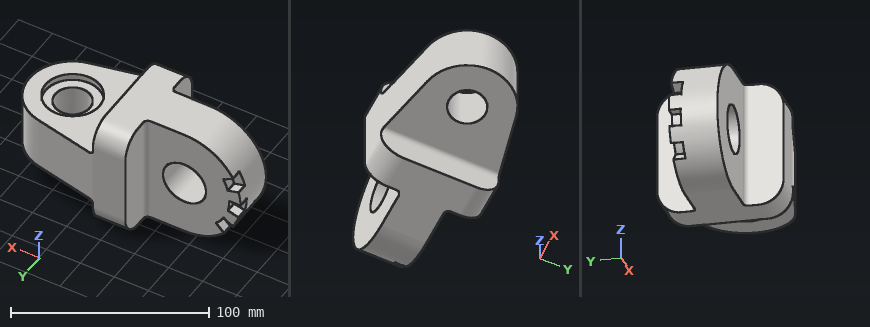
import cadquery as cq
import math

block_size = 65.8
block_start = 22.6
block_end = 41.7
block_corner_radius = 12.6
root_fillet = 2.5

lug_radius = block_size / 2
lug_thickness = 25.3
lug_bore_radius = 12.6

notch_root_radius = 26.3
notch_width = 6.2
notch_span = 15.0
notch_pitch = 30.0
first_notch_angle = -45.0
notch_count = 3

overall_length = 131.6
eye_radius = 25.4
eye_center = overall_length - lug_radius - eye_radius
eye_thickness = 31.6
eye_bore_radius = 10.1
counterbore_radius = 15.8
counterbore_depth = 4.0


def make_block():
    length = block_end - block_start
    block = cq.Workplane("YZ", origin=(block_start, 0, 0)).rect(block_size, block_size).extrude(length)
    return block.edges("|X").fillet(block_corner_radius)


def make_lug():
    return (
        cq.Workplane("XZ")
        .moveTo(block_start, lug_radius)
        .lineTo(0, lug_radius)
        .threePointArc((-lug_radius, 0), (0, -lug_radius))
        .lineTo(block_start, -lug_radius)
        .close()
        .extrude(lug_thickness / 2, both=True)
    )


def make_eye():
    """Plate whose sides run from the block's full width tangent to the eye."""
    half_width = block_size / 2
    run = eye_center - block_end
    corner_distance = math.hypot(run, half_width)
    tangent_angle = math.atan2(half_width, -run) - math.acos(eye_radius / corner_distance)
    tangent_x = eye_center + eye_radius * math.cos(tangent_angle)
    tangent_y = eye_radius * math.sin(tangent_angle)
    return (
        cq.Workplane("XY")
        .moveTo(block_end, half_width)
        .lineTo(tangent_x, tangent_y)
        .threePointArc((eye_center + eye_radius, 0), (tangent_x, -tangent_y))
        .lineTo(block_end, -half_width)
        .close()
        .extrude(eye_thickness / 2, both=True)
    )


def make_root_fillet(plane, root, half_thickness, width):
    """Strip filling the corner where a plate's face meets the block.

    root is the signed position of the corner along local x; the strip grows away from the block.
    """
    outward = math.copysign(root_fillet, root - (block_start + block_end) / 2)
    middle = 1 - math.sqrt(0.5)
    return (
        cq.Workplane(plane)
        .moveTo(root, half_thickness)
        .lineTo(root + outward, half_thickness)
        .threePointArc(
            (root + outward * middle, half_thickness + root_fillet * middle),
            (root, half_thickness + root_fillet),
        )
        .close()
        .extrude(width / 2, both=True)
    )


def rim_point(radius, angle):
    return (-radius * math.cos(math.radians(angle)), radius * math.sin(math.radians(angle)))


def make_notch(start_angle):
    """Sector-shaped cutter with radial walls and a round floor."""
    end_angle = start_angle + notch_span
    middle_angle = start_angle + notch_span / 2
    cutter_radius = lug_radius + 1.3
    return (
        cq.Workplane("XZ", origin=(0, lug_thickness / 2, 0))
        .moveTo(*rim_point(notch_root_radius, start_angle))
        .lineTo(*rim_point(cutter_radius, start_angle))
        .threePointArc(rim_point(cutter_radius, middle_angle), rim_point(cutter_radius, end_angle))
        .lineTo(*rim_point(notch_root_radius, end_angle))
        .threePointArc(
            rim_point(notch_root_radius, middle_angle),
            rim_point(notch_root_radius, start_angle),
        )
        .close()
        .extrude(notch_width)
    )


result = make_block().union(make_lug()).union(make_eye())

lug_fillet = make_root_fillet("XY", block_start, lug_thickness / 2, block_size)
result = result.union(lug_fillet).union(lug_fillet.mirror("XZ"))

taper_limit = make_eye().faces("<Z").wires().toPending().extrude(block_size, both=True)
eye_fillet = make_root_fillet("XZ", block_end, eye_thickness / 2, block_size).intersect(taper_limit)
result = result.union(eye_fillet).union(eye_fillet.mirror("XY"))

lug_bore = cq.Workplane("XZ").circle(lug_bore_radius).extrude(lug_thickness, both=True)
eye_axis = cq.Workplane("XY").center(eye_center, 0)
eye_bore = eye_axis.circle(eye_bore_radius).extrude(eye_thickness, both=True)
counterbore = (
    eye_axis.workplane(offset=eye_thickness / 2 - counterbore_depth)
    .circle(counterbore_radius)
    .extrude(eye_thickness)
)
result = result.cut(lug_bore).cut(eye_bore).cut(counterbore)

for index in range(notch_count):
    result = result.cut(make_notch(first_notch_angle + index * notch_pitch))